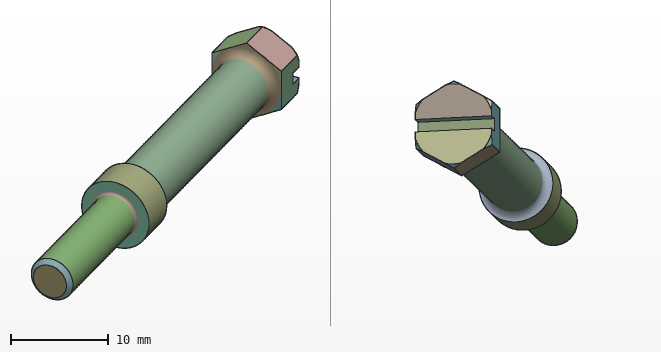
import cadquery as cq
import math

total_length = 48.2

head_width_across_flats = 8.0
head_width_across_corners = 9.16
head_length = 4.0
head_face_diameter = 8.4
slot_width = 1.3
slot_depth = 1.35

shaft_diameter = 6.0
collar_diameter = 7.75
collar_length = 4.0
pin_diameter = 4.8
pin_length = 14.7
pin_tip_chamfer = 0.5
pin_root_fillet = 0.3

head_flare = (head_width_across_flats - shaft_diameter) / 2
collar_flare = (collar_diameter - shaft_diameter) / 2

collar_top = collar_length
pin_tip = -pin_length
head_top = total_length - pin_length
head_base = head_top - head_length


def arc_middle(center_x, center_y, radius, direction_x, direction_y):
    """Middle point of a quarter arc, towards the given pair of signs."""
    offset = radius * math.sqrt(0.5)
    return (center_x + direction_x * offset, center_y + direction_y * offset)


def make_round_body():
    """Pin, collar and flared shaft as one profile revolved about Y."""
    pin_radius = pin_diameter / 2
    collar_radius = collar_diameter / 2
    shaft_radius = shaft_diameter / 2
    head_flat_radius = head_width_across_flats / 2
    pin_root_radius = pin_radius + pin_root_fillet
    collar_flare_end = collar_top + collar_flare
    head_flare_start = head_base - head_flare

    pin_root_middle = arc_middle(pin_root_radius, -pin_root_fillet, pin_root_fillet, -1, 1)
    collar_flare_middle = arc_middle(collar_radius, collar_flare_end, collar_flare, -1, -1)
    head_flare_middle = arc_middle(head_flat_radius, head_flare_start, head_flare, -1, 1)

    return (
        cq.Workplane("XY")
        .moveTo(0, pin_tip)
        .lineTo(pin_radius - pin_tip_chamfer, pin_tip)
        .lineTo(pin_radius, pin_tip + pin_tip_chamfer)
        .lineTo(pin_radius, -pin_root_fillet)
        .threePointArc(pin_root_middle, (pin_root_radius, 0))
        .lineTo(collar_radius, 0)
        .lineTo(collar_radius, collar_top)
        .threePointArc(collar_flare_middle, (shaft_radius, collar_flare_end))
        .lineTo(shaft_radius, head_flare_start)
        .threePointArc(head_flare_middle, (head_flat_radius, head_base))
        .lineTo(0, head_base)
        .close()
        .revolve(360, (0, 0, 0), (0, 1, 0))
    )


def make_head():
    """Hexagon with its outer corners bevelled at 45 degrees, and a driver slot along X."""
    top_plane = cq.Workplane("XZ", origin=(0, head_top, 0))
    flat_x = head_width_across_flats / 2
    tip_z = head_width_across_corners / 2
    side_corner_z = tip_z / 2
    hexagon_corners = [
        (0, tip_z),
        (flat_x, side_corner_z),
        (flat_x, -side_corner_z),
        (0, -tip_z),
        (-flat_x, -side_corner_z),
        (-flat_x, side_corner_z),
    ]
    hexagon = top_plane.polyline(hexagon_corners).close().extrude(head_length)

    bevel = head_length / 4
    enclosing_radius = head_face_diameter / 2 + bevel
    corner_bevel = (
        top_plane
        .circle(enclosing_radius)
        .extrude(head_length)
        .faces(">Y")
        .chamfer(bevel)
    )
    slot = top_plane.rect(head_width_across_corners, slot_width).extrude(slot_depth)
    return hexagon.intersect(corner_bevel).cut(slot)


result = make_round_body().union(make_head())